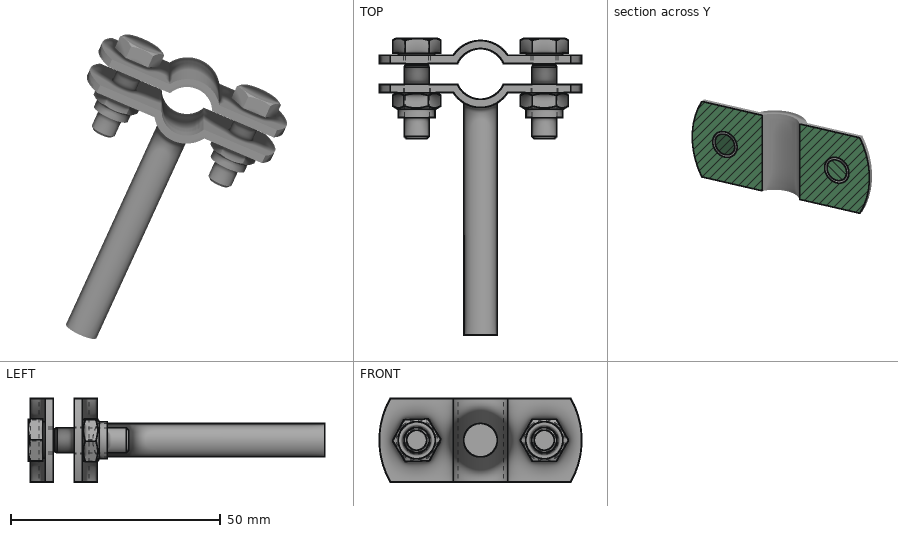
import cadquery as cq
import math

clamp_length = 48.5
clamp_height = 20.0
straight_edge = 43.2
plate_thickness = 2.0
clamp_gap = 5.0
bore_radius = 6.0
saddle_radius = 7.75
bolt_spacing = 30.5
bolt_hole_diameter = 6.5

rod_diameter = 8.0
rod_end = 62.5

hex_flats = 10.0
hex_corners = hex_flats / math.cos(math.radians(30))
chamfer_angle = 30.0

head_top = 8.5
head_height = 3.55
head_chamfer_diameter = 9.9
washer_face_diameter = 8.7
neck_diameter = 5.5
thread_diameter = 6.0
thread_start = 1.55
neck_end = 2.1
bolt_length = 24.1
tip_diameter = 4.75
tip_chamfer = (thread_diameter - tip_diameter) / 2

nut_hex_height = 4.0
nut_seat_diameter = 9.2
nut_collar_diameter = 8.9
nut_collar_height = 2.0

bolt_positions = [(-1, -1.5, 2.0), (1, 0.0, 0.0)]

plate_inner = clamp_gap / 2
plate_outer = plate_inner + plate_thickness
saddle_crown = bore_radius + plate_thickness
saddle_center = saddle_crown - saddle_radius


def cylinder(diameter, y_start, y_end):
    """Cylinder on the Y axis from y_start down to y_end."""
    return cq.Workplane("XZ", origin=(0, y_start, 0)).circle(diameter / 2).extrude(y_start - y_end)


def revolve_profile(points):
    """Solid of revolution about the Y axis from (radius, y) points."""
    return cq.Workplane("XY").polyline(points).close().revolve(360, (0, 0, 0), (0, 1, 0))


def hex_prism(y_start, y_end, rotation):
    """Hexagonal prism along Y, turned about its axis, with two level flats at zero rotation."""
    return (
        cq.Workplane("XZ", origin=(0, y_start, 0))
        .polygon(6, hex_corners)
        .extrude(y_start - y_end)
        .rotate((0, 0, 0), (0, -1, 0), rotation)
    )


def trim_corners(prism, y_face, face_diameter, inward):
    """Cut the prism's corners with a cone that leaves a round face at y_face.

    The material lies on the +Y side of the face when inward is 1, on the -Y side when it is -1.
    """
    reach = hex_corners
    cone_depth = (reach - face_diameter / 2) * math.tan(math.radians(chamfer_angle))
    y_cone_end = y_face + inward * cone_depth
    y_far = y_cone_end + inward * reach
    envelope = revolve_profile([
        (0, y_face),
        (face_diameter / 2, y_face),
        (reach, y_cone_end),
        (reach, y_far),
        (0, y_far),
    ])
    return prism.intersect(envelope)


def make_clamp_half():
    """Rear clamp half, on the +Y side of the bore."""
    half_length = clamp_length / 2
    half_edge = straight_edge / 2
    half_height = clamp_height / 2
    outline = (
        cq.Workplane("XZ")
        .moveTo(-half_edge, -half_height)
        .lineTo(half_edge, -half_height)
        .threePointArc((half_length, 0), (half_edge, half_height))
        .lineTo(-half_edge, half_height)
        .threePointArc((-half_length, 0), (-half_edge, -half_height))
        .close()
    )
    plate = outline.extrude(-plate_outer)
    saddle = cq.Workplane("XY").center(0, saddle_center).circle(saddle_radius)
    saddle = saddle.extrude(half_height, both=True)
    bore = cq.Workplane("XY").circle(bore_radius).extrude(half_height, both=True)
    gap = cq.Workplane("XY").box(clamp_length, 2 * saddle_crown, clamp_height)
    gap = gap.translate((0, plate_inner - saddle_crown, 0))
    half = plate.union(saddle).cut(bore).cut(gap)
    for side in (-1, 1):
        hole = cylinder(bolt_hole_diameter, plate_outer, plate_inner)
        half = half.cut(hole.translate((side * bolt_spacing / 2, 0, 0)))
    return half


def make_rod_clamp():
    """Front clamp half with the rod ending flush at the bore wall."""
    bore = cq.Workplane("XY").circle(bore_radius).extrude(clamp_height / 2, both=True)
    rod = cylinder(rod_diameter, -plate_inner, -rod_end).cut(bore)
    return make_clamp_half().mirror("XZ").union(rod)


def make_bolt(head_rotation):
    """Bolt on the Y axis: hexagon head, washer face, neck and thread."""
    head_bottom = head_top - head_height
    tip = head_top - bolt_length
    head = hex_prism(head_top, head_bottom, head_rotation)
    head = trim_corners(head, head_top, head_chamfer_diameter, -1)
    washer_face = cylinder(washer_face_diameter, head_bottom, plate_outer)
    shank = revolve_profile([
        (0, plate_outer),
        (neck_diameter / 2, plate_outer),
        (neck_diameter / 2, neck_end),
        (thread_diameter / 2, thread_start),
        (thread_diameter / 2, tip + tip_chamfer),
        (tip_diameter / 2, tip),
        (0, tip),
    ])
    return head.union(washer_face).union(shank)


def make_nut(rotation):
    """Nut on the Y axis, seated on the front clamp half, with a round collar."""
    seat = -plate_outer
    hex_end = seat - nut_hex_height
    collar_end = hex_end - nut_collar_height
    body = hex_prism(seat, hex_end, rotation)
    body = trim_corners(body, seat, nut_seat_diameter, -1)
    body = trim_corners(body, hex_end, nut_collar_diameter, 1)
    collar = cylinder(nut_collar_diameter, hex_end, collar_end)
    thread_hole = cylinder(thread_diameter, seat, collar_end)
    return body.union(collar).cut(thread_hole)


rear_clamp = make_clamp_half()
rod_clamp = make_rod_clamp()

bolts = []
nuts = []
for side, head_rotation, nut_rotation in bolt_positions:
    bolt_offset = (side * bolt_spacing / 2, 0, 0)
    bolts.append(make_bolt(head_rotation).translate(bolt_offset).val())
    nuts.append(make_nut(nut_rotation).translate(bolt_offset).val())

result = cq.Compound.makeCompound([rear_clamp.val(), rod_clamp.val(), *bolts, *nuts])